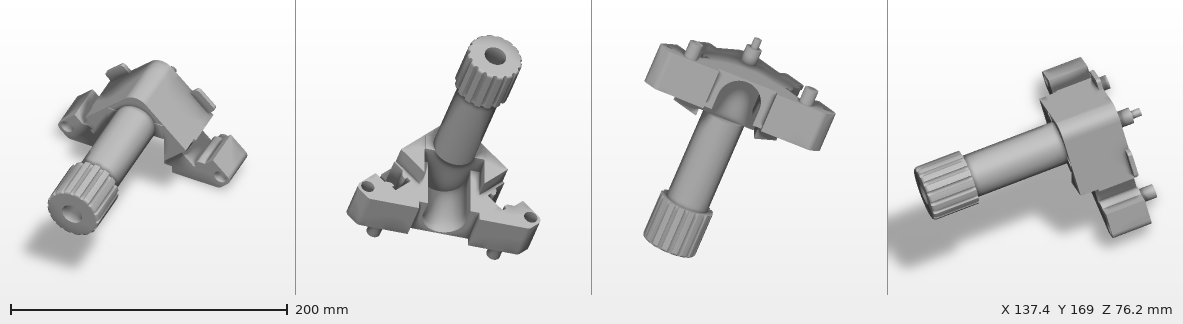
import cadquery as cq
import math

ROOT2 = math.sqrt(2)
SIDES = (-1, 1)
SLOPE_ANGLE = 45
MARGIN = 1.7

flange_depth = 30.0
block_depth = 43.8
arm_out = 20.8
ridge_radius = 11.5
block_down = 36.2
base_z = -51.5
tip_down = 79.3
tip_radius = 5.0

channel_width = 45.3
foot_height = 6.3
recess_width = 32.1
recess_wall = 1.5

slot_center = 47.8
slot_half = 9.8
slot_floor = 1.2
slot_floor_half = 8.1
lip_half = 5.7
lip_start = 4.9
lip_end = 7.3
lip_top = 11.2
lip_step = 0.7
lip_bulge = 0.3

hole_x = 61.3
hole_z = -40.2
hole_diameter = 4.7
counterbore_diameter = 10.0
counterbore_depth = 20.0

ear_thickness = 3.2
ear_start = 13.9
ear_end = 34.0
ear_reach = 8.3
ear_radius = 2.4

pin_offset = 45.1
pin_diameter = 10.3
pin_reach = 11.7
pin_seat = 10.0

pad_width = 44.3
pad_height = 12.8
pad_proud = 0.5

spindle_diameter = 12.0
spindle_tip_diameter = 5.9
spindle_tip_reach = 19.0

total_length = 169
tube_diameter = 32.0
knob_diameter = 40.9
knob_length = 35.0
knob_rounding = 2.0
knob_bore_diameter = 16.2
flute_count = 16
flute_diameter = 3.5

handle_front = total_length - spindle_tip_reach
pad_bottom = -pad_height / 2


def arm_point(down, out, side=1):
    """The (x, z) place at a distance down an arm and out from it."""
    return side * (down + out) / ROOT2, (out - down) / ROOT2


def prism(outline, depth):
    """A closed outline carried from the rear face towards the front."""
    return outline.close().extrude(depth)


def box(width, z_low, z_high, y_front, y_back):
    """A block centred on X."""
    size = (width, y_back - y_front, z_high - z_low)
    return cq.Workplane().box(*size, centered=(True, False, False)).translate((0, y_front, z_low))


def rod(diameter, y_front, y_back, x=0, z=0):
    """A round bar along Y."""
    plane = cq.Workplane("XZ", origin=(0, y_back, 0)).center(x, z)
    return plane.circle(diameter / 2).extrude(y_back - y_front)


def ridge_outline(lower_points):
    """An outline with a rounded top ridge, closed by the right side's points and their mirror images."""
    ridge_x = ridge_radius / ROOT2
    ridge_z = arm_out * ROOT2 - ridge_x
    ridge_top = ridge_z - ridge_x + ridge_radius
    outline = cq.Workplane("XZ").moveTo(-ridge_x, ridge_z)
    outline = outline.threePointArc((0, ridge_top), (ridge_x, ridge_z))
    for x, z in lower_points:
        outline = outline.lineTo(x, z)
    for x, z in reversed(lower_points):
        outline = outline.lineTo(-x, z)
    return outline


def flange():
    """The rear plate with both arms, its arm ends rounded."""
    tip = arm_point(tip_down, arm_out)
    base_corner = (tip_down * ROOT2 + base_z, base_z)
    body = prism(ridge_outline([tip, base_corner]), flange_depth)
    for side in SIDES:
        for x, z in (tip, base_corner):
            middle = (side * x, -flange_depth / 2, z)
            low = [c - MARGIN for c in middle]
            high = [c + MARGIN for c in middle]
            body = body.edges(cq.selectors.BoxSelector(low, high)).fillet(tip_radius)
    return body


def front_block():
    """The thicker middle, reaching from the ridge down to the channel's sides."""
    corner = arm_point(block_down, arm_out)
    inner_x = channel_width / 2
    bottom = (inner_x, inner_x - block_down * ROOT2)
    return prism(ridge_outline([corner, bottom]), block_depth)


def arm_slot(side):
    """The slot between the two lips, as a solid to cut away."""
    def at(down, out):
        return arm_point(slot_center + down, out, side)

    lip_root = slot_half - lip_step
    bulge_down = (lip_root + lip_half) / 2 - lip_bulge / ROOT2
    bulge_out = (lip_end + lip_top) / 2 + lip_bulge / ROOT2
    slot = cq.Workplane("XZ").moveTo(*at(-slot_half, arm_out + MARGIN)).lineTo(*at(-slot_half, lip_top))
    slot = slot.lineTo(*at(-lip_root, lip_top))
    slot = slot.threePointArc(at(-bulge_down, bulge_out), at(-lip_half, lip_end))
    slot = slot.lineTo(*at(-lip_half, lip_start)).lineTo(*at(-slot_floor_half, lip_start))
    slot = slot.lineTo(*at(-slot_floor_half, slot_floor)).lineTo(*at(slot_floor_half, slot_floor))
    slot = slot.lineTo(*at(slot_floor_half, lip_start)).lineTo(*at(lip_half, lip_start))
    slot = slot.lineTo(*at(lip_half, lip_end))
    slot = slot.threePointArc(at(bulge_down, bulge_out), at(lip_root, lip_top))
    slot = slot.lineTo(*at(slot_half, lip_top)).lineTo(*at(slot_half, arm_out + MARGIN))
    return prism(slot, flange_depth)


def ear(side):
    """A thin rounded ear standing on a sloping face."""
    root = arm_out - ear_reach
    length = ear_end - ear_start
    plate = cq.Workplane("XZ").rect(length, 2 * ear_reach).extrude(ear_thickness)
    plate = plate.edges("|Y").fillet(ear_radius)
    x, z = arm_point((ear_start + ear_end) / 2, root + ear_reach, side)
    return plate.rotate((0, 0, 0), (0, 1, 0), side * SLOPE_ANGLE).translate((x, 0, z))


def front_pad():
    """The thin pad on the block's front, cleared for the end of the tube."""
    pad_front = -block_depth - pad_proud
    pad = box(pad_width, pad_bottom, -pad_bottom, pad_front, -block_depth)
    return pad.cut(rod(tube_diameter, pad_front, -block_depth))


def passage():
    """The channel in the block's front, the round-ended recess behind it and the gap between the feet."""
    channel = box(channel_width, base_z, pad_bottom, -block_depth, -flange_depth)
    feet_gap = box(channel_width, base_z, base_z + foot_height, -flange_depth, 0)
    end_radius = recess_width / 2
    end_y = -recess_wall - end_radius
    height = pad_bottom - base_z
    recess = box(recess_width, base_z, pad_bottom, -flange_depth, end_y)
    recess_end = cq.Workplane(origin=(0, end_y, base_z)).circle(end_radius).extrude(height)
    return channel.union(feet_gap).union(recess).union(recess_end)


def arm_hole(side):
    """A through hole counterbored from the front."""
    x = side * hole_x
    hole = rod(hole_diameter, -flange_depth, 0, x, hole_z)
    counterbore = rod(counterbore_diameter, -flange_depth, counterbore_depth - flange_depth, x, hole_z)
    return hole.union(counterbore)


def make_pin(side):
    """A plain pin seated in the bracket's rear face."""
    return rod(pin_diameter, -pin_seat, pin_reach, side * pin_offset, -pin_offset)


def make_spindle():
    """The stepped spindle, running from the end of the tube out through the rear face."""
    shaft = rod(spindle_diameter, -block_depth, pin_reach)
    tip = rod(spindle_tip_diameter, pin_reach, spindle_tip_reach)
    return shaft.union(tip)


def make_handle():
    """The tube with its fluted knob, bored from the front."""
    tube = rod(tube_diameter, -handle_front, -block_depth)
    knob = rod(knob_diameter, -handle_front, knob_length - handle_front)
    knob = knob.faces("<Y").edges().fillet(knob_rounding)
    flutes = (
        cq.Workplane("XZ", origin=(0, knob_length - handle_front, 0))
        .polarArray(knob_diameter / 2, 0, 360, flute_count)
        .circle(flute_diameter / 2)
        .extrude(knob_length)
    )
    bore = rod(knob_bore_diameter, -handle_front, knob_length - handle_front)
    return knob.cut(flutes).union(tube).cut(bore)


def make_bracket():
    """The block and flange with their ears, slots, holes, passage and pad."""
    body = front_block().union(flange())
    for side in SIDES:
        body = body.union(ear(side)).cut(arm_slot(side)).cut(arm_hole(side)).cut(make_pin(side))
    spindle_hole = rod(spindle_diameter, -block_depth, 0)
    return body.cut(passage()).union(front_pad()).cut(spindle_hole)


bracket = make_bracket()
handle = make_handle()
spindle = make_spindle()
pins = [make_pin(side) for side in SIDES]

result = cq.Compound.makeCompound(
    [bracket.val(), handle.val(), spindle.val(), *[pin.val() for pin in pins]]
)